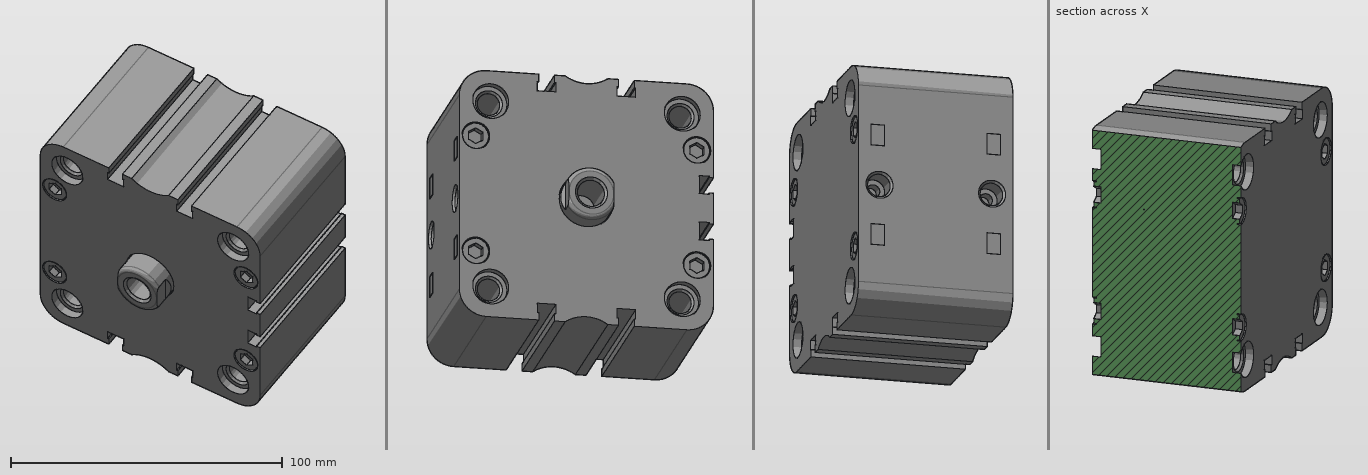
import cadquery as cq


side = 95.5
half = side / 2
overall_length = 68.0
rod_length = 9.0
body_length = overall_length - rod_length
corner_radius = 10.0

slot_mouth = 5.9
slot_width = 7.0
top_slot_offset = 15.0
top_slot_depth = 6.5
top_slot_lip = 2.9
side_slot_offset = 9.0
side_slot_depth = 5.35
side_slot_lip = 1.6

groove_width = 16.0
groove_depth = 2.5

mount_offset = 36.0
mount_bore = 8.4
mount_chamfer_diameter = 10.1
mount_counterbore = 13.5
mount_counterbore_depth = 3.2

screw_x = 41.5
screw_z = 22.3
screw_recess_diameter = 10.3
screw_recess_depth = 0.5
screw_head_diameter = 9.8
screw_gap_depth = 1.4
hex_across_corners = 6.1
hex_depth = 2.9

port_inset = 8.0
port_mouth = 10.3
port_bore = 8.6
port_depth = 8.6
port_passage = 5.0
port_passage_depth = 13.4

plate_inset = 7.4
plate_z = 19.1
plate_width = 5.2
plate_height = 7.9
plate_depth = 0.2

rod_diameter = 20.0
rod_radius = rod_diameter / 2
rod_fillet = 1.6
rod_clearance_diameter = 20.5
rod_clearance_depth = 1.9
flat_offset = 8.5
flat_length = 6.1
rod_bore = 10.1
rod_bore_chamfer_diameter = 12.0
rod_bore_depth = 19.1


def drill_y(x, z, face_y, direction, diameter, depth):
    """Cylinder entering the body at face_y, running along direction * Y."""
    return cq.Workplane(cq.Solid.makeCylinder(
        diameter / 2, depth, cq.Vector(x, face_y, z), cq.Vector(0, direction, 0)))


def countersink(point, axis, outer_diameter, inner_diameter):
    """45 degree cone narrowing from outer to inner diameter along the axis."""
    depth = (outer_diameter - inner_diameter) / 2
    return cq.Workplane(cq.Solid.makeCone(
        outer_diameter / 2, inner_diameter / 2, depth, cq.Vector(*point), cq.Vector(*axis)))


def t_slot(depth, lip):
    """T-slot cutter along Y, opening upward at the top face with X = 0."""
    undercut = depth - lip
    mouth = cq.Workplane("XY").box(slot_mouth, body_length, depth, centered=(True, False, False))
    wide = cq.Workplane("XY").box(slot_width, body_length, undercut, centered=(True, False, False))
    return mouth.union(wide).translate((0, 0, half - depth))


def top_groove():
    """Circular-arc groove cutter along Y in the top face."""
    radius = ((groove_width / 2) ** 2 + groove_depth ** 2) / (2 * groove_depth)
    return drill_y(0, half - groove_depth + radius, 0, 1, 2 * radius, body_length)


def make_body():
    body = cq.Workplane("XY").box(side, body_length, side, centered=(True, False, True))
    body = body.edges("|Y").fillet(corner_radius)
    origin, y_axis = (0, 0, 0), (0, 1, 0)
    for angle in (0, 180):
        body = body.cut(top_groove().rotate(origin, y_axis, angle))
        for x in (-top_slot_offset, top_slot_offset):
            slot = t_slot(top_slot_depth, top_slot_lip).translate((x, 0, 0))
            body = body.cut(slot.rotate(origin, y_axis, angle))
    for z in (-side_slot_offset, side_slot_offset):
        slot = t_slot(side_slot_depth, side_slot_lip).translate((z, 0, 0))
        body = body.cut(slot.rotate(origin, y_axis, 90))
    return body


def cut_mounting_hole(body, x, z):
    body = body.cut(drill_y(x, z, 0, 1, mount_bore, body_length))
    for face_y, direction in ((0, 1), (body_length, -1)):
        seat_y = face_y + direction * mount_counterbore_depth
        body = body.cut(drill_y(x, z, face_y, direction, mount_counterbore, mount_counterbore_depth))
        body = body.cut(countersink(
            (x, seat_y, z), (0, direction, 0), mount_chamfer_diameter, mount_bore))
    return body


def screw_cutter(x, z):
    """Everything removed around one sunken socket-head screw in the front face."""
    recess = drill_y(x, z, 0, 1, screw_recess_diameter, screw_gap_depth)
    head = drill_y(x, z, screw_recess_depth, 1, screw_head_diameter, screw_gap_depth)
    socket = (
        cq.Workplane("XZ", origin=(x, screw_recess_depth, z))
        .transformed(rotate=(0, 0, 90))
        .polygon(6, hex_across_corners)
        .extrude(-hex_depth)
    )
    return recess.cut(head).union(socket)


def cut_port(body, y):
    inward = cq.Vector(1, 0, 0)
    mouth = cq.Vector(-half, y, 0)
    body = body.cut(cq.Workplane(cq.Solid.makeCylinder(port_bore / 2, port_depth, mouth, inward)))
    body = body.cut(cq.Workplane(cq.Solid.makeCylinder(
        port_passage / 2, port_passage_depth, mouth, inward)))
    return body.cut(countersink((-half, y, 0), (1, 0, 0), port_mouth, port_bore))


def make_rod():
    rod = drill_y(0, 0, 0, -1, rod_diameter, rod_length).faces("<Y").edges().fillet(rod_fillet)
    flat_y = -rod_length + flat_length
    runout = rod_radius - flat_offset
    flat = (
        cq.Workplane("XY", origin=(0, 0, -rod_radius))
        .moveTo(flat_offset, -rod_length)
        .lineTo(flat_offset, flat_y)
        .lineTo(rod_radius, flat_y + runout)
        .lineTo(rod_radius, -rod_length)
        .close()
        .extrude(rod_diameter)
    )
    return rod.cut(flat).cut(flat.mirror("YZ"))


result = make_body()

for x in (-mount_offset, mount_offset):
    for z in (-mount_offset, mount_offset):
        result = cut_mounting_hole(result, x, z)

for x in (-screw_x, screw_x):
    for z in (-screw_z, screw_z):
        front_screw = screw_cutter(x, z)
        result = result.cut(front_screw)
        result = result.cut(front_screw.mirror("XZ", (0, body_length / 2, 0)))

for y in (port_inset, body_length - port_inset):
    result = cut_port(result, y)

for y in (plate_inset, body_length - plate_inset):
    for z in (-plate_z, plate_z):
        plate = cq.Workplane("XY").box(2 * plate_depth, plate_width, plate_height)
        result = result.cut(plate.translate((-half, y, z)))

clearance = drill_y(0, 0, 0, 1, rod_clearance_diameter, rod_clearance_depth)
rod_core = drill_y(0, 0, 0, 1, rod_diameter, rod_clearance_depth)
result = result.cut(clearance.cut(rod_core))

result = result.union(make_rod())
result = result.cut(drill_y(0, 0, -rod_length, 1, rod_bore, rod_bore_depth))
result = result.cut(countersink((0, -rod_length, 0), (0, 1, 0), rod_bore_chamfer_diameter, rod_bore))